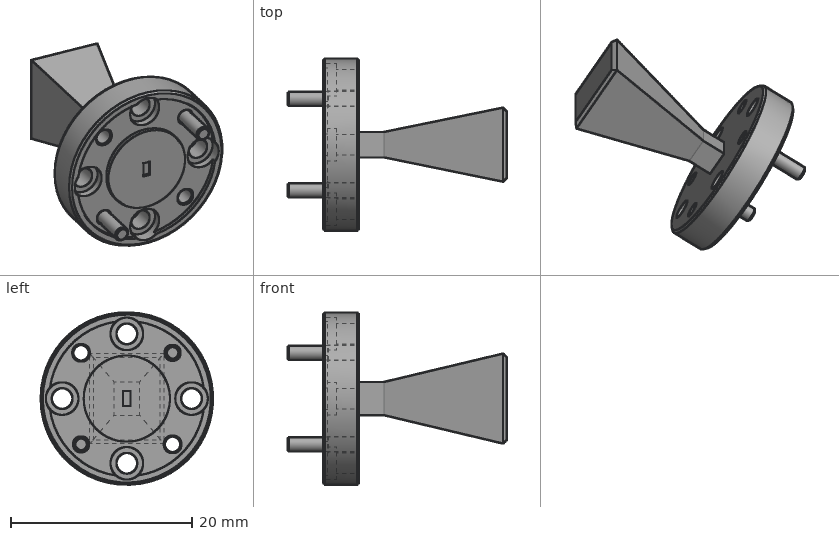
import cadquery as cq
import math


flange_diameter = 19.05
flange_thickness = 4.0
flange_chamfer = 0.25

relief_outer_diameter = 17.15
boss_diameter = 9.525
relief_depth = 0.51

pitch_radius = 14.288 / 2
screw_hole_diameter = 2.26
counterbore_diameter = 3.6
counterbore_depth = 1.5
alignment_hole_diameter = 1.7
alignment_hole_chamfer = 0.13

waveguide_width = 0.826
waveguide_height = 1.651
waveguide_depth = 0.3

pin_diameter = 1.6
pin_projection = 3.89
pin_chamfer = 0.16
pin_socket_chamfer = 0.09

neck_width = 2.84
neck_height = 3.7
neck_length = 2.75
mouth_width = 8.2
mouth_height = 9.96
overall_length = 24.19
mouth_bevel = 0.42
horn_length = overall_length - pin_projection - flange_thickness
flare_length = horn_length - neck_length - mouth_bevel

screw_angles = (0, 90, 180, 270)
pin_angles = (135, 315)
open_hole_angles = (45, 225)


def pitch_point(angle):
    """Y and Z of a point on the pitch circle, angle measured from +Y towards +Z."""
    radians = math.radians(angle)
    return (pitch_radius * math.cos(radians), pitch_radius * math.sin(radians))


def section(x):
    """Sketch plane square to X whose local axes are Y and Z."""
    return cq.Workplane("YZ", origin=(x, 0, 0))


def cylinders_at(angles, diameter, start, depth):
    """Cylinders along +X at the given pitch-circle angles."""
    points = [pitch_point(angle) for angle in angles]
    return section(start).pushPoints(points).circle(diameter / 2).extrude(depth)


def countersunk_holes(angles, diameter, chamfer):
    """Through-hole cutters whose mouths widen at 45 degrees at the relief floor."""
    holes = cylinders_at(angles, diameter, 0, flange_thickness)
    for angle in angles:
        y, z = pitch_point(angle)
        countersink = cq.Solid.makeCone(
            diameter / 2 + chamfer,
            diameter / 2,
            chamfer,
            cq.Vector(relief_depth, y, z),
            cq.Vector(1, 0, 0),
        )
        holes = holes.union(cq.Workplane(countersink))
    return holes


def make_flange():
    body = section(0).circle(flange_diameter / 2).extrude(flange_thickness)
    body = body.edges().chamfer(flange_chamfer)
    relief = section(0).circle(relief_outer_diameter / 2).circle(boss_diameter / 2).extrude(relief_depth)
    body = body.cut(relief)
    body = body.cut(cylinders_at(screw_angles, screw_hole_diameter, 0, flange_thickness))
    body = body.cut(cylinders_at(screw_angles, counterbore_diameter, 0, counterbore_depth))

    body = body.cut(countersunk_holes(open_hole_angles, alignment_hole_diameter, alignment_hole_chamfer))
    body = body.cut(countersunk_holes(pin_angles, pin_diameter, pin_socket_chamfer))
    waveguide = section(0).rect(waveguide_width, waveguide_height).extrude(waveguide_depth)
    return body.cut(waveguide)


def make_pin(angle):
    pin_length = pin_projection + flange_thickness
    pin = cylinders_at((angle,), pin_diameter, -pin_projection, pin_length)
    return pin.faces("<X").edges().chamfer(pin_chamfer)


def make_horn():
    neck = section(flange_thickness).rect(neck_width, neck_height).extrude(neck_length)
    flare_start = flange_thickness + neck_length
    flare = (
        section(flare_start)
        .rect(neck_width, neck_height)
        .workplane(offset=flare_length)
        .rect(mouth_width, mouth_height)
        .loft(ruled=True)
    )
    bevel = (
        section(flare_start + flare_length)
        .rect(mouth_width, mouth_height)
        .workplane(offset=mouth_bevel)
        .rect(mouth_width - 2 * mouth_bevel, mouth_height - 2 * mouth_bevel)
        .loft(ruled=True)
    )
    return neck.union(flare).union(bevel)


flange = make_flange()
horn = make_horn()
pins = [make_pin(angle) for angle in pin_angles]

result = cq.Compound.makeCompound([flange.val(), horn.val(), *[pin.val() for pin in pins]])